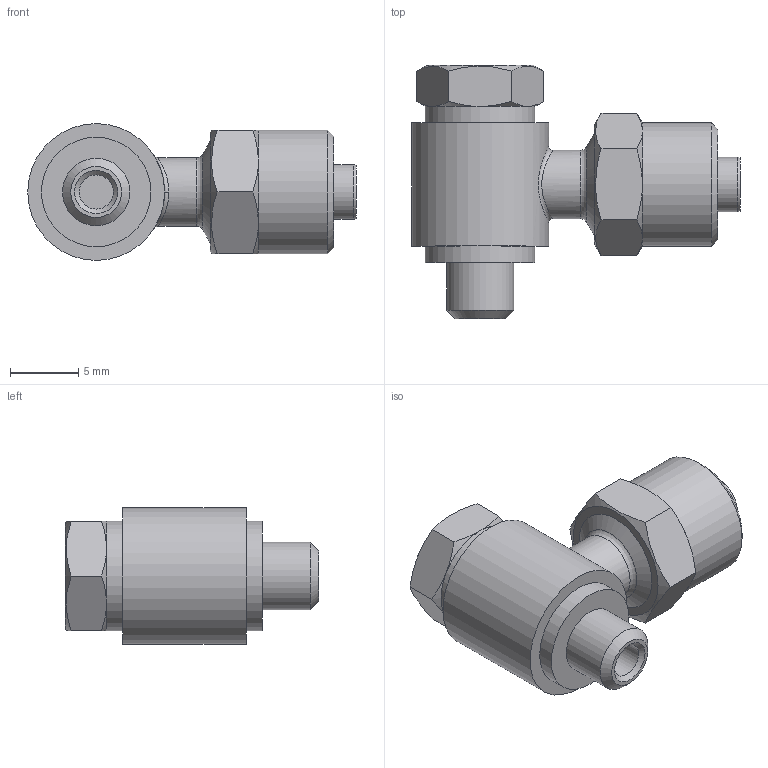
import math

import cadquery as cq

BODY_DIAMETER = 10.0
BODY_LENGTH = 9.0

SEAL_DIAMETER = 8.0
SEAL_THICKNESS = 1.2
HEAD_ACROSS_FLATS = 8.0
HEAD_HEIGHT = 3.0
HEAD_FACE_DIAMETER = 7.8
THREAD_DIAMETER = 4.92
THREAD_LENGTH = 4.1
THREAD_CHAMFER = 0.6
BORE_DIAMETER = 2.5
BORE_CHAMFER = 0.33

NECK_DIAMETER = 5.0
NECK_FILLET = 0.3
SHOULDER_DIAMETER = 7.5
SHOULDER_ANGLE = 60.0
SHOULDER_FILLET = 0.5
NUT_START = 8.35
NUT_LENGTH = 3.5
NUT_ACROSS_FLATS = 9.0
NUT_FACE_DIAMETER = 8.75
SLEEVE_DIAMETER = 9.0
SLEEVE_LENGTH = 5.5
SLEEVE_CHAMFER = 0.45
TUBE_DIAMETER = 4.0
TUBE_END = 19.0
TUBE_CHAMFER_LENGTH = 0.2
TUBE_CHAMFER_DEPTH = 0.05

HEX_BEVEL_ANGLE = 30.0

BODY_END = BODY_LENGTH / 2
SEAL_END = BODY_END + SEAL_THICKNESS
TIP_Y = -(SEAL_END + THREAD_LENGTH)
NUT_END = NUT_START + NUT_LENGTH
SLEEVE_END = NUT_END + SLEEVE_LENGTH


def rod_y(diameter, start, end):
    """Cylinder along Y from one Y station to a higher one."""
    return cq.Workplane("XZ", origin=(0, start, 0)).circle(diameter / 2).extrude(start - end)


def rod_x(diameter, start, end):
    """Cylinder along X from one X station to a higher one."""
    return cq.Workplane("YZ", origin=(start, 0, 0)).circle(diameter / 2).extrude(end - start)


def beveled_hex(across_flats, height, bottom_diameter, top_diameter):
    """Hex prism standing on Z = 0, corners at +/-X, with conical bevels at both ends."""
    corner_radius = across_flats / math.sqrt(3)
    slope = math.tan(math.radians(HEX_BEVEL_ANGLE))
    bottom_radius = bottom_diameter / 2
    top_radius = top_diameter / 2
    envelope = (
        cq.Workplane("XZ")
        .moveTo(0, 0)
        .lineTo(bottom_radius, 0)
        .lineTo(corner_radius, (corner_radius - bottom_radius) * slope)
        .lineTo(corner_radius, height - (corner_radius - top_radius) * slope)
        .lineTo(top_radius, height)
        .lineTo(0, height)
        .close()
        .revolve(360, (0, 0, 0), (0, 1, 0))
    )
    prism = cq.Workplane("XY").polygon(6, 2 * corner_radius).extrude(height)
    return prism.intersect(envelope)


def bolt_head():
    """Bolt head on the +Y side, corners at +/-X and flats facing +/-Z."""
    head = beveled_hex(HEAD_ACROSS_FLATS, HEAD_HEIGHT, SEAL_DIAMETER, HEAD_FACE_DIAMETER)
    return head.rotate((0, 0, 0), (1, 0, 0), -90).translate((0, SEAL_END, 0))


def threaded_tip():
    """Plain cylinder in place of the thread, chamfered at its free end."""
    return rod_y(THREAD_DIAMETER, TIP_Y, -SEAL_END).faces("<Y").chamfer(THREAD_CHAMFER)


def tip_bore():
    """Blind bore from the tip to the hose axis, widened at its mouth."""
    mouth_radius = BORE_DIAMETER / 2 + BORE_CHAMFER
    return (
        cq.Workplane("XY")
        .moveTo(0, TIP_Y)
        .lineTo(mouth_radius, TIP_Y)
        .lineTo(BORE_DIAMETER / 2, TIP_Y + BORE_CHAMFER)
        .lineTo(BORE_DIAMETER / 2, 0)
        .lineTo(0, 0)
        .close()
        .revolve(360, (0, 0, 0), (0, 1, 0))
    )


def shoulder_length():
    """Axial length of the cone from the neck diameter to the shoulder diameter."""
    rise = (SHOULDER_DIAMETER - NECK_DIAMETER) / 2
    return rise / math.tan(math.radians(SHOULDER_ANGLE))


def body_with_neck():
    """Banjo body joined to the neck, with a fillet where the neck leaves the body."""
    body = rod_y(BODY_DIAMETER, -BODY_END, BODY_END)
    neck_end = NUT_START - shoulder_length()
    joined = body.union(rod_x(NECK_DIAMETER, 0, neck_end))
    return joined.edges("(not %CIRCLE) and (not %LINE)").fillet(NECK_FILLET)


def shoulder():
    """Flare from the neck to the nut, its root rounded by an arc tangent to both."""
    neck_radius = NECK_DIAMETER / 2
    angle = math.radians(SHOULDER_ANGLE)
    root_x = NUT_START - shoulder_length()
    arc_start_x = root_x - SHOULDER_FILLET * math.tan(angle / 2)
    arc_center_radius = neck_radius + SHOULDER_FILLET

    def arc_point(turn):
        return (
            arc_start_x + SHOULDER_FILLET * math.sin(turn),
            arc_center_radius - SHOULDER_FILLET * math.cos(turn),
        )

    return (
        cq.Workplane("XY")
        .moveTo(arc_start_x, 0)
        .lineTo(arc_start_x, neck_radius)
        .threePointArc(arc_point(angle / 2), arc_point(angle))
        .lineTo(NUT_START, SHOULDER_DIAMETER / 2)
        .lineTo(NUT_START, 0)
        .close()
        .revolve(360, (0, 0, 0), (1, 0, 0))
    )


def nut():
    """Hex nut along X, corners at +/-Y and flats facing +/-Z."""
    blank = beveled_hex(NUT_ACROSS_FLATS, NUT_LENGTH, NUT_FACE_DIAMETER, SLEEVE_DIAMETER)
    turned = blank.rotate((0, 0, 0), (0, 0, 1), 90).rotate((0, 0, 0), (0, 1, 0), 90)
    return turned.translate((NUT_START, 0, 0))


def sleeve():
    """Round sleeve behind the nut, chamfered at its free end."""
    return rod_x(SLEEVE_DIAMETER, NUT_END, SLEEVE_END).faces(">X").chamfer(SLEEVE_CHAMFER)


def tube_stub():
    """Tube stub leaving the sleeve, with a slight lead-in taper at its end."""
    tube_radius = TUBE_DIAMETER / 2
    return (
        cq.Workplane("XY")
        .moveTo(SLEEVE_END, 0)
        .lineTo(SLEEVE_END, tube_radius)
        .lineTo(TUBE_END - TUBE_CHAMFER_LENGTH, tube_radius)
        .lineTo(TUBE_END, tube_radius - TUBE_CHAMFER_DEPTH)
        .lineTo(TUBE_END, 0)
        .close()
        .revolve(360, (0, 0, 0), (1, 0, 0))
    )


result = body_with_neck()
for piece in (
    rod_y(SEAL_DIAMETER, -SEAL_END, -BODY_END),
    rod_y(SEAL_DIAMETER, BODY_END, SEAL_END),
    bolt_head(),
    threaded_tip(),
    shoulder(),
    nut(),
    sleeve(),
    tube_stub(),
):
    result = result.union(piece)
result = result.cut(tip_bore())